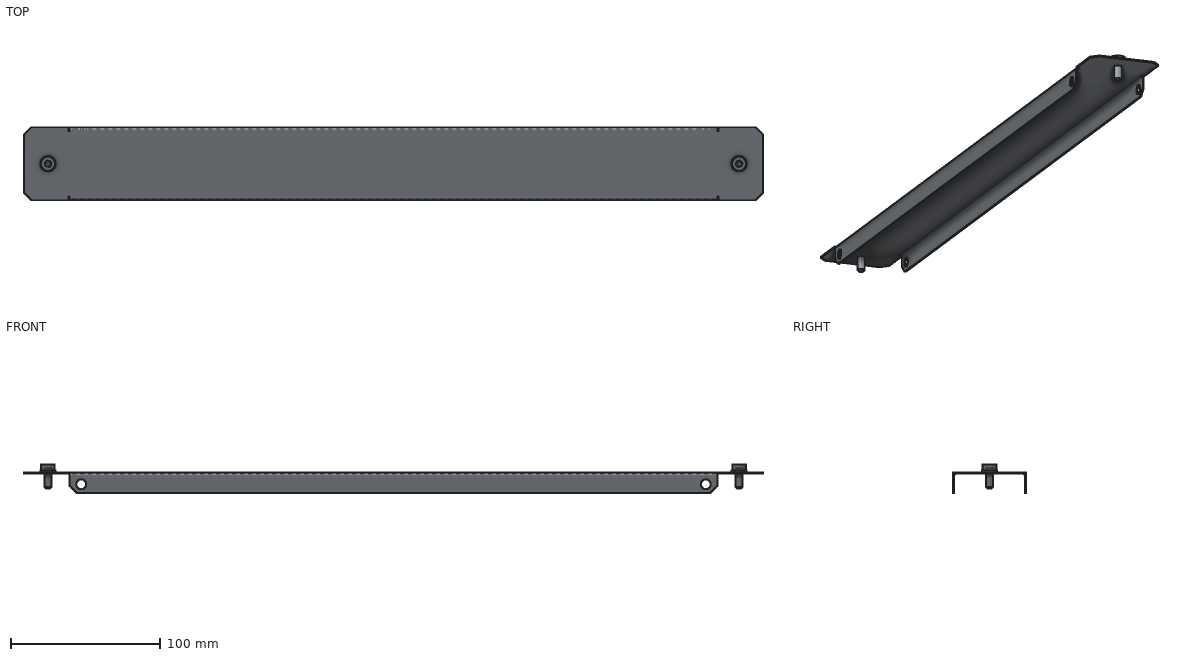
import cadquery as cq
import math

length = 496.0
width = 49.0
sheet = 1.0
cover_height = 14.0
bend_radius = 2.0
corner_chamfer = 5.0
flange_length = 435.0
flange_hole_diameter = 6.5
flange_hole_inset = 8.0
flange_hole_drop = 8.0
relief_width = 0.5
relief_depth = 2.5

screw_spacing = 464.0
shank_diameter = 5.0
shank_depth = 11.0
tip_chamfer = 1.25
head_diameter = 9.5
head_height = 4.0
socket_width = 4.0
socket_depth = 2.5
socket_turn = 15
washer_diameter = 10.5
washer_thickness = 1.5

screw_places = [-screw_spacing / 2, screw_spacing / 2]


def make_plate():
    """Flat sheet with its top at z = 0, cut back along the sides where the flanges fold down."""
    plate = (
        cq.Workplane("XY", origin=(0, 0, -sheet))
        .rect(length, width)
        .extrude(sheet)
        .edges("|Z")
        .chamfer(corner_chamfer)
    )
    strip_offset = (width - relief_depth) / 2
    side_strips = (
        cq.Workplane("XY", origin=(0, 0, -sheet))
        .pushPoints([(0, -strip_offset), (0, strip_offset)])
        .rect(flange_length + 2 * relief_width, relief_depth)
        .extrude(sheet)
    )
    return plate.cut(side_strips)


def make_channel():
    """Both flanges with their rounded folds and the web between them."""
    outside = (
        cq.Workplane("XY", origin=(0, 0, -cover_height))
        .rect(flange_length, width)
        .extrude(cover_height)
        .edges("|X and >Z")
        .fillet(bend_radius)
        .edges("|Y and <Z")
        .chamfer(corner_chamfer)
    )
    inside = (
        cq.Workplane("XY", origin=(0, 0, -cover_height))
        .rect(flange_length, width - 2 * sheet)
        .extrude(cover_height - sheet)
        .edges("|X and >Z")
        .fillet(bend_radius - sheet)
    )
    return outside.cut(inside)


def make_cover():
    hole_x = flange_length / 2 - flange_hole_inset
    flange_holes = (
        cq.Workplane("XZ", origin=(0, 0, -flange_hole_drop))
        .pushPoints([(-hole_x, 0), (hole_x, 0)])
        .circle(flange_hole_diameter / 2)
        .extrude(width, both=True)
    )
    screw_holes = (
        cq.Workplane("XY", origin=(0, 0, -sheet))
        .pushPoints([(x, 0) for x in screw_places])
        .circle(shank_diameter / 2)
        .extrude(sheet)
    )
    return make_plate().union(make_channel()).cut(flange_holes).cut(screw_holes)


def make_washer(x):
    """Flat ring resting on the sheet."""
    return (
        cq.Workplane("XY", origin=(x, 0, 0))
        .circle(washer_diameter / 2)
        .circle(shank_diameter / 2)
        .extrude(washer_thickness)
    )


def make_screw(x, turn):
    """Cylindrical-head screw with a hexagon socket turned by the given angle about its axis."""
    head_top = washer_thickness + head_height
    shank = (
        cq.Workplane("XY", origin=(x, 0, -shank_depth))
        .circle(shank_diameter / 2)
        .extrude(shank_depth + washer_thickness)
        .faces("<Z")
        .chamfer(tip_chamfer)
    )
    head = (
        cq.Workplane("XY", origin=(x, 0, washer_thickness))
        .circle(head_diameter / 2)
        .extrude(head_height)
    )
    socket = (
        cq.Workplane("XY", origin=(x, 0, head_top - socket_depth))
        .transformed(rotate=(0, 0, turn))
        .polygon(6, socket_width, circumscribed=True)
        .extrude(socket_depth)
    )
    return shank.union(head).cut(socket)


cover = make_cover()
washers = [make_washer(x) for x in screw_places]
screws = [make_screw(x, math.copysign(socket_turn, -x)) for x in screw_places]

result = cq.Compound.makeCompound(
    [cover.val()] + [washer.val() for washer in washers] + [screw.val() for screw in screws]
)